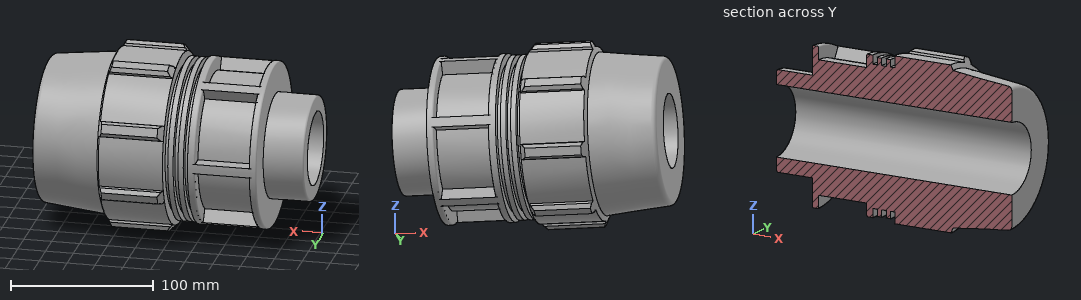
import cadquery as cq
import math

length = 192.0
bore_radius = 52.6 / 2

spigot_radius = 75.3 / 2
spigot_edge = 1.5

hub_start = 29.2
hub_end = 78.7
hub_radius = 118.8 / 2
flange_thickness = 5.4
flange_edge = 1.3
drum_radius = 49.5
hub_rib_count = 6
hub_rib_width = 7.0

neck_radius = 105.6 / 2
ring_radius = 116.4 / 2
ring_width = 3.8
ring_starts = (82.0, 89.3)

nut_start = 96.2
skirt_start = 144.0
nut_radius = 61.5
skirt_start_radius = 57.6
skirt_end_radius = 52.5
skirt_edge = 3.6

grip_count = 8
grip_radius = 65.9
grip_top_width = 6.5
grip_base_width = 10.8
grip_bevel_radius = 63.0
grip_front_slope = 3.8
grip_back_slope = 3.8


def disc(start, end, radius):
    """Solid cylinder on the X axis between two X positions."""
    return cq.Workplane("YZ", origin=(start, 0, 0)).circle(radius).extrude(end - start)


def make_spigot():
    return disc(0, hub_start + flange_thickness, spigot_radius).faces("<X").edges().fillet(spigot_edge)


def make_hub():
    front_flange = disc(hub_start, hub_start + flange_thickness, hub_radius).edges().fillet(flange_edge)
    back_flange = disc(hub_end - flange_thickness, hub_end, hub_radius).faces("<X").edges().fillet(flange_edge)
    hub = disc(hub_start + flange_edge, hub_end, drum_radius).union(front_flange).union(back_flange)

    rib_start = hub_start + flange_thickness - flange_edge
    rib_end = hub_end - flange_thickness + flange_edge
    envelope = disc(rib_start, rib_end, hub_radius)
    rib = cq.Workplane("XY").box(
        rib_end - rib_start, 2 * hub_radius, hub_rib_width
    ).translate(((rib_start + rib_end) / 2, 0, 0))
    for index in range(hub_rib_count // 2):
        angle = index * 360 / hub_rib_count
        hub = hub.union(rib.rotate((0, 0, 0), (1, 0, 0), angle).intersect(envelope))
    return hub


def make_neck():
    neck = disc(hub_end, nut_start, neck_radius)
    for start in ring_starts:
        neck = neck.union(disc(start, start + ring_width, ring_radius))
    return neck


def make_nut_envelope():
    """Round blank that bounds the nut and its grips, with conical slopes at both ends."""
    crest_radius = math.hypot(grip_radius, grip_top_width / 2)
    return (
        cq.Workplane("XY")
        .moveTo(nut_start, 0)
        .lineTo(nut_start, nut_radius)
        .lineTo(nut_start + grip_front_slope, crest_radius)
        .lineTo(skirt_start - grip_back_slope, crest_radius)
        .lineTo(skirt_start, skirt_start_radius)
        .lineTo(skirt_start, 0)
        .close()
        .revolve(360, (0, 0, 0), (1, 0, 0))
    )


def make_grip():
    """Bar along the nut for one grip, pointing along +Z, with bevelled long edges."""
    half_top = grip_top_width / 2
    half_base = grip_base_width / 2
    return (
        cq.Workplane("YZ", origin=(nut_start, 0, 0))
        .moveTo(-half_base, neck_radius)
        .lineTo(-half_base, grip_bevel_radius)
        .lineTo(-half_top, grip_radius)
        .lineTo(half_top, grip_radius)
        .lineTo(half_base, grip_bevel_radius)
        .lineTo(half_base, neck_radius)
        .close()
        .extrude(skirt_start - nut_start)
    )


def make_nut():
    nut = disc(nut_start, skirt_start, nut_radius)
    grip = make_grip()
    pitch = 360 / grip_count
    for index in range(grip_count):
        nut = nut.union(grip.rotate((0, 0, 0), (1, 0, 0), (index + 0.5) * pitch))
    return nut.intersect(make_nut_envelope())


def make_skirt():
    skirt = (
        cq.Workplane("XY")
        .moveTo(skirt_start, 0)
        .lineTo(skirt_start, skirt_start_radius)
        .lineTo(length, skirt_end_radius)
        .lineTo(length, 0)
        .close()
        .revolve(360, (0, 0, 0), (1, 0, 0))
    )
    return skirt.faces(">X").edges().fillet(skirt_edge)


coupling = make_spigot().union(make_hub()).union(make_neck()).union(make_nut()).union(make_skirt())
result = coupling.cut(disc(0, length, bore_radius))